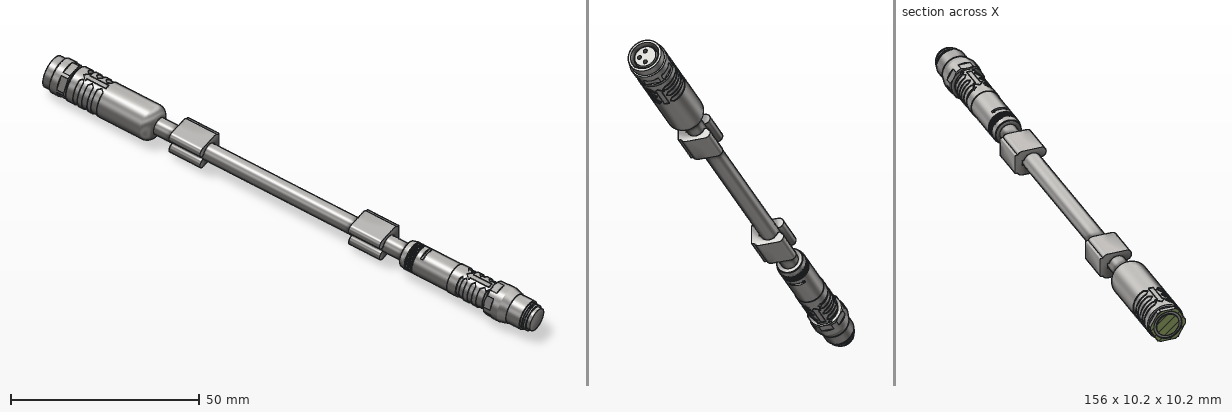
import cadquery as cq
import math

LENGTH = 156.0
NUT_RADIUS = 5.1
NUT_FLAT_DISTANCE = 4.7
GROOVE_DEPTH = 0.23
END_GROOVE_DEPTH = 0.5
CABLE_RADIUS = 2.5
OVERLAP = 0.8

SOCKET_COLLAR_RADIUS = 4.7
SOCKET_COLLAR_END = 2.5
SOCKET_FLATS_START = 4.8
SOCKET_NUT_END = 7.0
SOCKET_GAP_END = 7.5
SOCKET_GAP_RADIUS = 4.0
SOCKET_BODY_CHAMFER = 0.3
SOCKET_BODY_END = 34.2
SOCKET_BODY_FILLET = 2.5
SOCKET_GROOVES = ((10.0, 11.4), (12.8, 14.5), (15.8, 17.6))

BORE_DIAMETER = 8.0
BORE_DEPTH = 6.2
INSERT_RADIUS = 3.3
INSERT_FACE_RADIUS = 3.0
INSERT_RECESS = 0.5
CONTACT_DIAMETER = 1.1
CONTACT_CIRCLE_DIAMETER = 3.3
CONTACT_DEPTH = 4.7
CONTACT_ANGLES = (0, 90, 270)

PLUG_START = 114.2
HANDLE_RADIUS = 4.0
PLUG_TAIL_RADIUS = 3.7
PLUG_RADIUS = 4.2
PLUG_TAIL_CHAMFER = 0.2
PLUG_TAIL_CONE_END = 115.6
TAIL_GROOVES = ((116.0, 116.5), (117.0, 117.5), (118.0, 118.4))
TAIL_GROOVE_RADIUS = 3.7
WINDOW_START = 120.0
WINDOW_WIDTH = 0.8
WINDOW_FLOOR = 3.5
GRIP_START = 129.8
PLUG_GROOVES = ((133.5, 135.0), (136.3, 137.7), (139.2, 141.0))
PLUG_END_GROOVES = ((132.6, 133.5), (141.0, 142.0))
PLUG_NUT_START = 142.0
PLUG_NUT_RADIUS = 5.0
PLUG_NUT_CHAMFER = 0.3
PLUG_FLATS_END = 144.3
PLUG_CONE_START = 146.6
PLUG_CONE_END = 149.0
PLUG_CONE_END_RADIUS = 4.4
PLUG_BARREL_END = 153.2
PLUG_NECK_RADIUS = 3.7
PLUG_NECK_END = 154.9
PLUG_TIP_RADIUS = 3.3
SEAL_GROOVE_START = 153.7
SEAL_GROOVE_END = 154.3

ARROW_SHAFT_HALF_WIDTH = 0.7
ARROW_HEAD_HALF_WIDTH = 1.5
ARROW_HEAD_LENGTH = 1.5
GROOVE_END_OFFSET = 2.0
GROOVE_TIP_OFFSET = 1.2

CLIP_STARTS = (40.2, 98.1)
CLIP_LENGTH = 10.0
CLIP_HEIGHT = 7.3
CLIP_HALF_HEIGHT = CLIP_HEIGHT / 2
CLIP_BACK = 4.4
CLIP_BACK_FILLET = 1.5
CLIP_MOUTH_HALF_HEIGHT = 0.7
CLIP_ARM_RADIUS = (CLIP_HALF_HEIGHT - CLIP_MOUTH_HALF_HEIGHT) / 2
CLIP_FRONT = 4.0
LABEL_THICKNESS = 0.6
LABEL_FILLET = 0.3
LABEL_HALF_HEIGHT = 2.8


def cylinder(start, end, radius):
    return cq.Workplane("YZ", origin=(start, 0, 0)).circle(radius).extrude(end - start)


def tube(start, end, outer_radius, inner_radius):
    return cylinder(start, end, outer_radius).cut(cylinder(start, end, inner_radius))


def hexagon_trim(start, end):
    """Material outside a hexagon with flats at the top and bottom."""
    corner_diameter = 2 * NUT_FLAT_DISTANCE / math.cos(math.radians(30))
    hexagon = cq.Workplane("YZ", origin=(start, 0, 0)).polygon(6, corner_diameter).extrude(end - start)
    return cylinder(start, end, 2 * NUT_RADIUS).cut(hexagon)


def grip_groove(start, end, radius, depth=GROOVE_DEPTH):
    """Ring groove that tapers to a point on both sides of the strip along the top and bottom."""
    middle = (start + end) / 2
    reach = 2 * radius
    plan = cq.Workplane("XY", origin=(0, 0, -reach)).polyline([
        (start, reach),
        (start, GROOVE_END_OFFSET),
        (middle, GROOVE_TIP_OFFSET),
        (end, GROOVE_END_OFFSET),
        (end, reach),
    ]).close().extrude(2 * reach)
    ring = tube(start, end, reach, radius - depth)
    return ring.intersect(plan.union(plan.mirror("XZ")))


def arrow_marks(tip, tail, radius):
    """Flat-bottomed arrows sunk into the top and bottom."""
    neck = tip + ARROW_HEAD_LENGTH
    floor = radius - GROOVE_DEPTH
    arrow = cq.Workplane("XY", origin=(0, 0, floor)).polyline([
        (tip, 0),
        (neck, ARROW_HEAD_HALF_WIDTH),
        (neck, ARROW_SHAFT_HALF_WIDTH),
        (tail, ARROW_SHAFT_HALF_WIDTH),
        (tail, -ARROW_SHAFT_HALF_WIDTH),
        (neck, -ARROW_SHAFT_HALF_WIDTH),
        (neck, -ARROW_HEAD_HALF_WIDTH),
    ]).close().extrude(radius)
    return arrow.union(arrow.mirror("XY"))


def contact_insert():
    face_chamfer = INSERT_RADIUS - INSERT_FACE_RADIUS
    insert = cylinder(INSERT_RECESS, BORE_DEPTH, INSERT_RADIUS).faces("<X").chamfer(face_chamfer)
    circle_radius = CONTACT_CIRCLE_DIAMETER / 2
    for angle in CONTACT_ANGLES:
        y = circle_radius * math.cos(math.radians(angle))
        z = circle_radius * math.sin(math.radians(angle))
        hole = cylinder(0, INSERT_RECESS + CONTACT_DEPTH, CONTACT_DIAMETER / 2).translate((0, y, z))
        insert = insert.cut(hole)
    return insert


def female_connector():
    body = cylinder(SOCKET_GAP_END, SOCKET_BODY_END, NUT_RADIUS)
    body = body.faces(">X").edges().fillet(SOCKET_BODY_FILLET)
    body = body.faces("<X").chamfer(SOCKET_BODY_CHAMFER)
    body = body.union(cylinder(SOCKET_NUT_END, SOCKET_GAP_END, SOCKET_GAP_RADIUS))
    body = body.union(cylinder(SOCKET_COLLAR_END, SOCKET_NUT_END, NUT_RADIUS))
    body = body.union(cylinder(0, SOCKET_COLLAR_END, SOCKET_COLLAR_RADIUS))
    body = body.cut(hexagon_trim(SOCKET_FLATS_START, SOCKET_NUT_END))
    for start, end in SOCKET_GROOVES:
        body = body.cut(grip_groove(start, end, NUT_RADIUS))
    body = body.cut(arrow_marks(SOCKET_GROOVES[0][0], SOCKET_GROOVES[-1][1], NUT_RADIUS))
    body = body.cut(cylinder(0, BORE_DEPTH, BORE_DIAMETER / 2))
    return body.union(contact_insert())


def male_connector():
    profile = [
        (PLUG_START, 0),
        (PLUG_START, PLUG_TAIL_RADIUS - PLUG_TAIL_CHAMFER),
        (PLUG_START + PLUG_TAIL_CHAMFER, PLUG_TAIL_RADIUS),
        (PLUG_TAIL_CONE_END, HANDLE_RADIUS),
        (GRIP_START, HANDLE_RADIUS),
        (GRIP_START, PLUG_RADIUS),
        (PLUG_NUT_START, PLUG_RADIUS),
        (PLUG_NUT_START, PLUG_NUT_RADIUS - PLUG_NUT_CHAMFER),
        (PLUG_NUT_START + PLUG_NUT_CHAMFER, PLUG_NUT_RADIUS),
        (PLUG_CONE_START, PLUG_NUT_RADIUS),
        (PLUG_CONE_END, PLUG_CONE_END_RADIUS),
        (PLUG_CONE_END, PLUG_RADIUS),
        (PLUG_BARREL_END, PLUG_RADIUS),
        (PLUG_BARREL_END, PLUG_NECK_RADIUS),
        (SEAL_GROOVE_START, PLUG_NECK_RADIUS),
        (SEAL_GROOVE_START, PLUG_TIP_RADIUS),
        (SEAL_GROOVE_END, PLUG_TIP_RADIUS),
        (SEAL_GROOVE_END, PLUG_NECK_RADIUS),
        (PLUG_NECK_END, PLUG_NECK_RADIUS),
        (PLUG_NECK_END, PLUG_TIP_RADIUS),
        (LENGTH, PLUG_TIP_RADIUS),
        (LENGTH, 0),
    ]
    body = cq.Workplane("XY").polyline(profile).close().revolve(360, (0, 0, 0), (1, 0, 0))
    for start, end in TAIL_GROOVES:
        body = body.cut(tube(start, end, NUT_RADIUS, TAIL_GROOVE_RADIUS))
    window = cq.Workplane("XY").box(WINDOW_WIDTH, 2 * NUT_RADIUS, NUT_RADIUS, centered=(False, True, False))
    window = window.translate((WINDOW_START, 0, WINDOW_FLOOR))
    body = body.cut(window).cut(window.mirror("XY"))
    for start, end in PLUG_GROOVES:
        body = body.cut(grip_groove(start, end, PLUG_RADIUS))
    for start, end in PLUG_END_GROOVES:
        body = body.cut(grip_groove(start, end, PLUG_RADIUS, END_GROOVE_DEPTH))
    body = body.cut(arrow_marks(PLUG_GROOVES[0][0], PLUG_GROOVES[-1][1], PLUG_RADIUS))
    return body.cut(hexagon_trim(PLUG_NUT_START, PLUG_FLATS_END))


def label_clip(start):
    """C-shaped clip, open toward -Y with rounded arm ends, and a label plate on its back."""
    arm_y = CLIP_ARM_RADIUS - CLIP_FRONT
    arm_z = CLIP_HALF_HEIGHT - CLIP_ARM_RADIUS
    back_y = CLIP_BACK - CLIP_BACK_FILLET
    clip = cq.Workplane("YZ", origin=(start, 0, 0))
    clip = clip.moveTo(arm_y, CLIP_HALF_HEIGHT).lineTo(CLIP_BACK, CLIP_HALF_HEIGHT)
    clip = clip.lineTo(CLIP_BACK, -CLIP_HALF_HEIGHT).lineTo(arm_y, -CLIP_HALF_HEIGHT)
    clip = clip.threePointArc((-CLIP_FRONT, -arm_z), (arm_y, -CLIP_MOUTH_HALF_HEIGHT))
    clip = clip.lineTo(back_y, -CLIP_MOUTH_HALF_HEIGHT).lineTo(back_y, CLIP_MOUTH_HALF_HEIGHT)
    clip = clip.lineTo(arm_y, CLIP_MOUTH_HALF_HEIGHT)
    clip = clip.threePointArc((-CLIP_FRONT, arm_z), (arm_y, CLIP_HALF_HEIGHT))
    clip = clip.close().extrude(CLIP_LENGTH).edges("|X and >Y").fillet(CLIP_BACK_FILLET)
    label_depth = CLIP_BACK_FILLET + LABEL_THICKNESS
    label_size = (CLIP_LENGTH, label_depth, 2 * LABEL_HALF_HEIGHT)
    label = cq.Workplane("XY").box(*label_size, centered=(False, False, True))
    label = label.edges("|X and >Y").fillet(LABEL_FILLET)
    return clip.union(label.translate((start, back_y, 0)))


result = cylinder(SOCKET_BODY_END - OVERLAP, PLUG_START + OVERLAP, CABLE_RADIUS)
result = result.union(female_connector()).union(male_connector())
for clip_start in CLIP_STARTS:
    result = result.union(label_clip(clip_start))